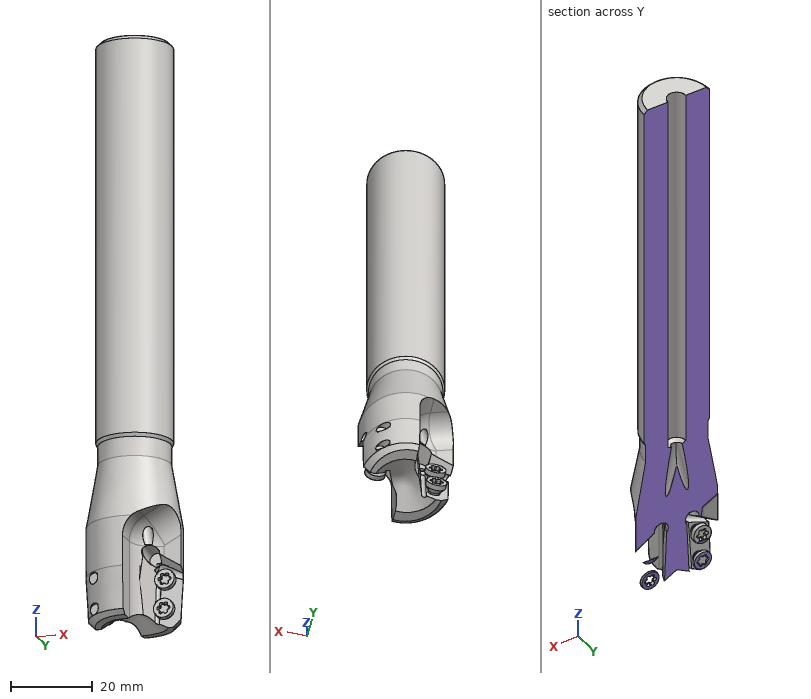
import cadquery as cq
import math

total_length = 149.1
shank_radius = 9.5
shank_chamfer = 1.0
shank_end_z = 47.3
neck_radius = 9.1
neck_step_height = 0.9
neck_end_z = 41.5
head_radius = 12.0
head_start_z = 25.4
relief_start_z = 12.7
tip_radius = 11.3
tip_chamfer = 1.8
dish_radius = 8.2
dish_depth = 4.5
end_relief_angle = 4.0

seat_count = 2
flute_wall_x = 0.9
flute_floor_y = 0.0
flute_straight_z = 20.3
flute_bend_radius = 7.0
flute_edge_radius = 6.7
flute_exit_angle = 28.0
flute_reach = 20.9

seat_tilt = 6.5
seat_y = 2.0
seat_side_x = 4.5
seat_corner_z = 17.5
seat_top_slope = 31.0
seat_draft = 21.0
seat_height = 6.0
seat_clearance = 12.0
seat_reach = 14.2
corner_relief_radius = 2.0
corner_relief_x = 4.5
corner_relief_z = 18.2
top_groove_radius = 1.2
top_groove_slope = 20.0
side_groove_radius = 0.6

screw_x = 7.6
screw_heights = (4.0, 11.8)
screw_radius = 1.5
screw_head_radius = 2.5
screw_head_height = 3.1
screw_rim_height = 1.3
screw_cone_height = 1.3
screw_depth = 4.5
screw_hole_length = 17.9
socket_radius = 1.2
socket_lobe_radius = 0.5
socket_lobes = 6
socket_depth = 1.2

bore_radius = 2.5
bore_bottom_z = 43.3
bore_tip_angle = 118.0
branch_radius = 1.3
branch_exit = cq.Vector(4.0, -1.8, 23.1)
branch_overrun = 2.2


def body_blank():
    """Turned outline of shank, neck, cone and head."""
    return (
        cq.Workplane("XZ")
        .lineTo(tip_radius - tip_chamfer, 0)
        .lineTo(tip_radius, tip_chamfer)
        .lineTo(head_radius, relief_start_z)
        .lineTo(head_radius, head_start_z)
        .lineTo(neck_radius, neck_end_z)
        .lineTo(neck_radius, shank_end_z - neck_step_height)
        .lineTo(shank_radius, shank_end_z)
        .lineTo(shank_radius, total_length - shank_chamfer)
        .lineTo(shank_radius - shank_chamfer, total_length)
        .lineTo(0, total_length)
        .close()
        .revolve(360, (0, 0), (0, 1))
    )


def end_dish():
    """Conical hollow in the cutting end."""
    return cq.Workplane(cq.Solid.makeCone(dish_radius, 0, dish_depth))


def end_relief():
    """Wedge that raises the end face behind the seat edge on the +Y side."""
    rise = (head_radius - seat_y) * math.tan(math.radians(end_relief_angle))
    wedge = [(seat_y, 0), (head_radius, 0), (head_radius, rise)]
    return cq.Workplane("YZ").polyline(wedge).close().extrude(head_radius, both=True)


def flute_cutter():
    """Chip space on the -Y side: upright wall, outward bend and sloping exit, with a rounded floor edge."""
    bend = math.radians(90 - flute_exit_angle)
    bend_center_x = flute_wall_x + flute_bend_radius
    half_bend_point = (
        bend_center_x - flute_bend_radius * math.cos(bend / 2),
        flute_straight_z + flute_bend_radius * math.sin(bend / 2),
    )
    bend_end_x = bend_center_x - flute_bend_radius * math.cos(bend)
    bend_end_z = flute_straight_z + flute_bend_radius * math.sin(bend)
    exit_z = bend_end_z + (flute_reach - bend_end_x) * math.tan(math.radians(flute_exit_angle))
    cutter = (
        cq.Workplane("XZ", origin=(0, flute_floor_y, 0))
        .moveTo(flute_wall_x, -flute_reach)
        .lineTo(flute_wall_x, flute_straight_z)
        .threePointArc(half_bend_point, (bend_end_x, bend_end_z))
        .lineTo(flute_reach, exit_z)
        .lineTo(flute_reach, -flute_reach)
        .close()
        .extrude(flute_reach)
    )
    inner_edge = cq.selectors.NearestToPointSelector((flute_wall_x, flute_floor_y, 0))
    return cutter.edges(inner_edge).fillet(flute_edge_radius)


def place_on_seat(shape):
    """Move a shape built on the plane Y = 0 onto the tilted seat."""
    return shape.rotate((0, 0, 0), (1, 0, 0), -seat_tilt).translate((0, seat_y, 0))


def seat_cutter():
    """Insert pocket with leaning walls, a round corner relief and a groove under the top wall."""
    slope = math.radians(seat_top_slope)
    outer_z = seat_corner_z - (seat_reach - seat_side_x) * math.tan(slope)
    outline = [
        (seat_side_x, -seat_reach),
        (seat_side_x, seat_corner_z),
        (seat_reach, outer_z),
        (seat_reach, -seat_reach),
    ]
    pocket = cq.Workplane("XZ").polyline(outline).close().extrude(seat_height, taper=-seat_draft)
    relief_center = cq.Workplane("XZ").center(corner_relief_x, corner_relief_z)
    corner_relief = relief_center.circle(corner_relief_radius).extrude(seat_clearance)
    groove_slope = math.radians(top_groove_slope)
    top_groove = cq.Solid.makeCylinder(
        top_groove_radius,
        seat_reach,
        cq.Vector(seat_side_x, 0, seat_corner_z - top_groove_radius),
        cq.Vector(math.cos(groove_slope), 0, -math.sin(groove_slope)),
    )
    side_groove = cq.Solid.makeCylinder(
        side_groove_radius,
        seat_corner_z + seat_reach,
        cq.Vector(seat_side_x + side_groove_radius, 0, -seat_reach),
    )
    return place_on_seat(pocket.union(corner_relief).union(top_groove).union(side_groove))


def screw_hole(height):
    """Through hole for one screw, from the seat to the back of the head."""
    hole = cq.Workplane("XZ").center(screw_x, height).circle(screw_radius).extrude(-screw_hole_length)
    return place_on_seat(hole)


def screw(height):
    """Countersunk screw with a lobed socket; its threaded end fills the lower part of the hole."""
    cone_top = screw_head_height - screw_rim_height
    profile = [
        (0, -screw_depth),
        (screw_radius, -screw_depth),
        (screw_radius, cone_top - screw_cone_height),
        (screw_head_radius, cone_top),
        (screw_head_radius, screw_head_height),
        (0, screw_head_height),
    ]
    solid = cq.Workplane("XY").polyline(profile).close().revolve(360, (0, 0), (0, 1))
    top = cq.Workplane("XZ", origin=(0, screw_head_height, 0))
    socket = top.circle(socket_radius).extrude(socket_depth)
    lobe_centers = top.polarArray(socket_radius, 0, 360, socket_lobes)
    lobes = lobe_centers.circle(socket_lobe_radius).extrude(socket_depth)
    solid = solid.cut(socket.union(lobes))
    return place_on_seat(solid.rotate((0, 0, 0), (1, 0, 0), 180).translate((screw_x, 0, height)))


def coolant_bore():
    """Axial bore from the shank end, with a drilled tip."""
    tip_depth = bore_radius / math.tan(math.radians(bore_tip_angle / 2))
    profile = [
        (0, bore_bottom_z - tip_depth),
        (bore_radius, bore_bottom_z),
        (bore_radius, total_length),
        (0, total_length),
    ]
    return cq.Workplane("XZ").polyline(profile).close().revolve(360, (0, 0), (0, 1))


def coolant_branch():
    """Slanted hole from the foot of the axial bore to the flute."""
    start = cq.Vector(0, 0, bore_bottom_z)
    run = branch_exit - start
    return cq.Workplane(cq.Solid.makeCylinder(branch_radius, run.Length + branch_overrun, start, run))


def around(shape, index):
    """Turn a shape to the given seat position."""
    return shape.rotate((0, 0, 0), (0, 0, 1), index * 360 / seat_count)


cutter_body = body_blank().cut(end_dish()).cut(coolant_bore())
for index in range(seat_count):
    for cutter in (flute_cutter(), seat_cutter(), end_relief(), coolant_branch()):
        cutter_body = cutter_body.cut(around(cutter, index))
    for height in screw_heights:
        cutter_body = cutter_body.cut(around(screw_hole(height), index))

screws = []
for index in range(seat_count):
    for height in screw_heights:
        screws.append(around(screw(height), index).solids().val())

result = cq.Compound.makeCompound([cutter_body.solids().val(), *screws])